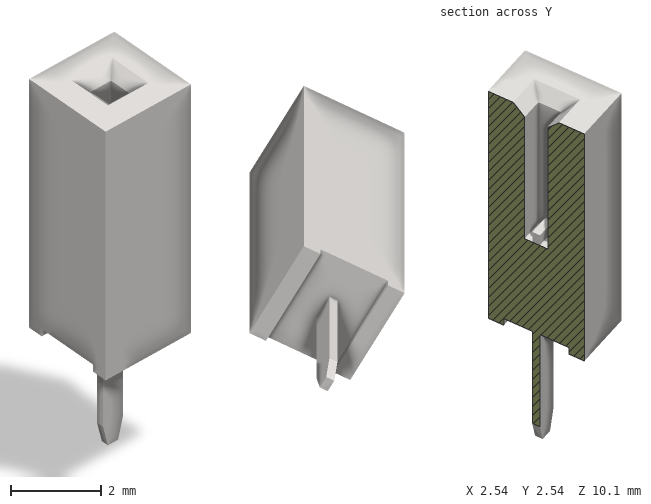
import cadquery as cq

total_height = 10.1
body_width = 2.54
body_height = 7.0
body_bottom = total_height - body_height

channel_width = 1.7
channel_depth = 0.2

mouth_width = 1.2
hole_width = 0.6
funnel_depth = 0.3
hole_depth = 4.04
hole_bottom = total_height - hole_depth

pin_thickness = 0.2
pin_width = 0.6
tip_width = 0.3
tip_height = 0.61

tongue_width = 0.53
tongue_height = 0.3


def make_housing():
    """Square block with a channel across its underside."""
    block = cq.Workplane("XY").workplane(offset=body_bottom).rect(body_width, body_width).extrude(body_height)
    channel = (
        cq.Workplane("XY")
        .workplane(offset=body_bottom)
        .rect(channel_width, body_width)
        .extrude(channel_depth)
    )
    return block.cut(channel)


def make_socket():
    """Volume removed for the funnel and the straight hole below it."""
    funnel = (
        cq.Workplane("XY")
        .workplane(offset=total_height)
        .rect(mouth_width, mouth_width)
        .workplane(offset=-funnel_depth)
        .rect(hole_width, hole_width)
        .loft(ruled=True)
    )
    hole = (
        cq.Workplane("XY")
        .workplane(offset=hole_bottom)
        .rect(hole_width, hole_width)
        .extrude(hole_depth - funnel_depth)
    )
    return funnel.union(hole)


def make_pin():
    """Flat pin from its pointed tip up to the tongue inside the hole."""
    half_profile = [
        (tip_width / 2, 0),
        (pin_width / 2, tip_height),
        (pin_width / 2, hole_bottom),
        (tongue_width / 2, hole_bottom),
        (tongue_width / 2, hole_bottom + tongue_height),
    ]
    mirrored_profile = [(-y, z) for y, z in reversed(half_profile)]
    return (
        cq.Workplane("YZ")
        .polyline(half_profile + mirrored_profile)
        .close()
        .extrude(pin_thickness / 2, both=True)
    )


result = make_housing().cut(make_socket()).union(make_pin())